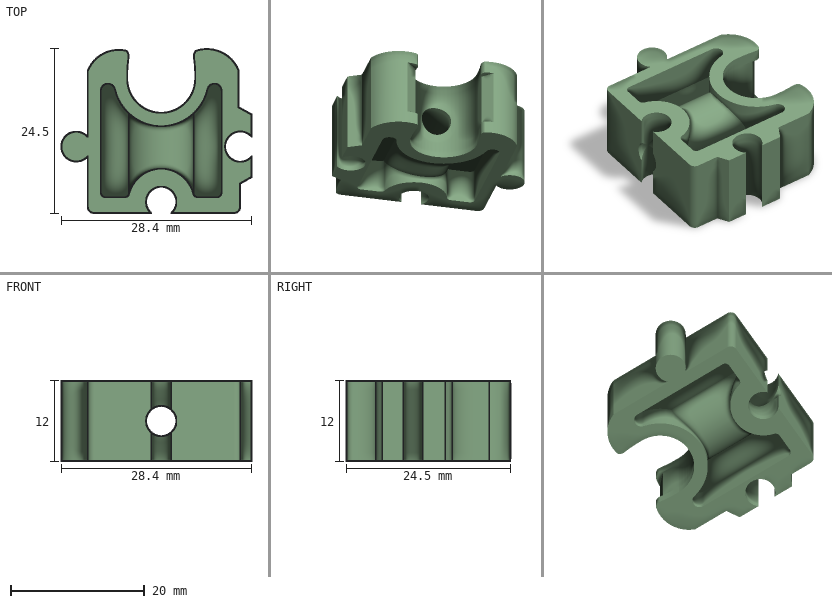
import cadquery as cq
import math

height = 12.0
left_x = -10.98
right_x = 11.8
upper_right_x = 11.55
corner_radius = 0.95

tab_x = 13.5
tab_low_y = 4.4
tab_low_outer_y = 5.38
tab_high_outer_y = 14.73
tab_high_y = 15.8

joint_radius = 2.25
joint_y = 9.93
pin_x = -12.68
front_socket_y = 1.68

clip_y = 20.05
clip_radius = 5.05
neck_half_width = 4.85
neck_y = 23.32
nose_x = 5.23
nose_y = 24.25
nose_bulge = (4.98, 23.95)
neck_bulge = (5.0, 22.0)
left_arm_start_y = 21.25
left_arm_bulge = (-9.15, 23.52)
right_arm_start_y = 21.35
right_arm_bulge = (9.47, 23.78)

lip_thickness = 1.85
relief_start_y = 22.87
relief_run = 1.65

pocket_half_width = 9.02
pocket_front_y = 2.35
pocket_fillet = 0.7
pocket_tip_radius = 1.066
clip_wall = 2.02
boss_radius = 4.95
web_thickness = 1.65
pocket_depth = (height - web_thickness) / 2

mid_z = height / 2


def upright_cylinder(x, y, radius):
    return cq.Workplane("XY").center(x, y).circle(radius).extrude(height)


def cylinder_along_y(radius, start_y, end_y):
    plane = cq.Workplane("XZ", origin=(0, start_y, mid_z))
    return plane.circle(radius).extrude(start_y - end_y)


def make_body():
    outline = (
        cq.Workplane("XY")
        .moveTo(left_x, 0)
        .lineTo(right_x, 0)
        .lineTo(right_x, tab_low_y)
        .lineTo(tab_x, tab_low_outer_y)
        .lineTo(tab_x, tab_high_outer_y)
        .lineTo(upper_right_x, tab_high_y)
        .lineTo(upper_right_x, right_arm_start_y)
        .threePointArc(right_arm_bulge, (nose_x, nose_y))
        .threePointArc(nose_bulge, (neck_half_width, neck_y))
        .threePointArc(neck_bulge, (clip_radius, clip_y))
        .threePointArc((0, clip_y - clip_radius), (-clip_radius, clip_y))
        .threePointArc((-neck_bulge[0], neck_bulge[1]), (-neck_half_width, neck_y))
        .threePointArc((-nose_bulge[0], nose_bulge[1]), (-nose_x, nose_y))
        .threePointArc(left_arm_bulge, (left_x, left_arm_start_y))
        .close()
    )
    body = outline.extrude(height)
    for x in (left_x, right_x):
        body = body.edges(cq.selectors.NearestToPointSelector((x, 0, mid_z))).fillet(corner_radius)
    return body


def make_pocket():
    """Pocket outline: straight sides, rounded tips, curved round the clip and front boss."""
    outer_radius = clip_radius + clip_wall
    tip_x = pocket_half_width - pocket_tip_radius
    center_distance = outer_radius + pocket_tip_radius
    tip_y = clip_y - math.sqrt(center_distance**2 - tip_x**2)
    touch_x = tip_x * outer_radius / center_distance
    touch_y = clip_y + (tip_y - clip_y) * outer_radius / center_distance
    pocket = (
        cq.Workplane("XY")
        .moveTo(-pocket_half_width, pocket_front_y)
        .lineTo(pocket_half_width, pocket_front_y)
        .lineTo(pocket_half_width, tip_y)
        .threePointArc((tip_x, tip_y + pocket_tip_radius), (touch_x, touch_y))
        .threePointArc((0, clip_y - outer_radius), (-touch_x, touch_y))
        .threePointArc((-tip_x, tip_y + pocket_tip_radius), (-pocket_half_width, tip_y))
        .close()
        .extrude(height)
        .cut(upright_cylinder(0, front_socket_y, boss_radius))
    )
    boss_x = math.sqrt(boss_radius**2 - (pocket_front_y - front_socket_y) ** 2)
    for x in (-pocket_half_width, -boss_x, boss_x, pocket_half_width):
        corner = cq.selectors.NearestToPointSelector((x, pocket_front_y, mid_z))
        pocket = pocket.edges(corner).fillet(pocket_fillet)
    return pocket


def make_pocket_cutter():
    """Both pockets, leaving the web and the tube around the cross hole."""
    web = cq.Workplane("XY").box(
        2 * pocket_half_width, 2 * clip_y, height - 2 * pocket_depth
    ).translate((0, 0, mid_z))
    tube = cylinder_along_y(boss_radius, 0, clip_y)
    return make_pocket().cut(web).cut(tube)


def make_lip_relief():
    """Straight-sided opening between the lips, flaring at 45 degrees toward the arm ends."""
    flare_x = clip_radius + relief_run
    end_y = relief_start_y + relief_run
    return (
        cq.Workplane("XY", origin=(0, 0, lip_thickness))
        .moveTo(-clip_radius, clip_y)
        .lineTo(clip_radius, clip_y)
        .lineTo(clip_radius, relief_start_y)
        .lineTo(flare_x, end_y)
        .lineTo(-flare_x, end_y)
        .lineTo(-clip_radius, relief_start_y)
        .close()
        .extrude(height - 2 * lip_thickness)
    )


result = (
    make_body()
    .cut(make_pocket_cutter())
    .cut(make_lip_relief())
    .union(upright_cylinder(pin_x, joint_y, joint_radius))
    .cut(upright_cylinder(right_x, joint_y, joint_radius))
    .cut(upright_cylinder(0, front_socket_y, joint_radius))
    .cut(cylinder_along_y(joint_radius, 0, clip_y))
)